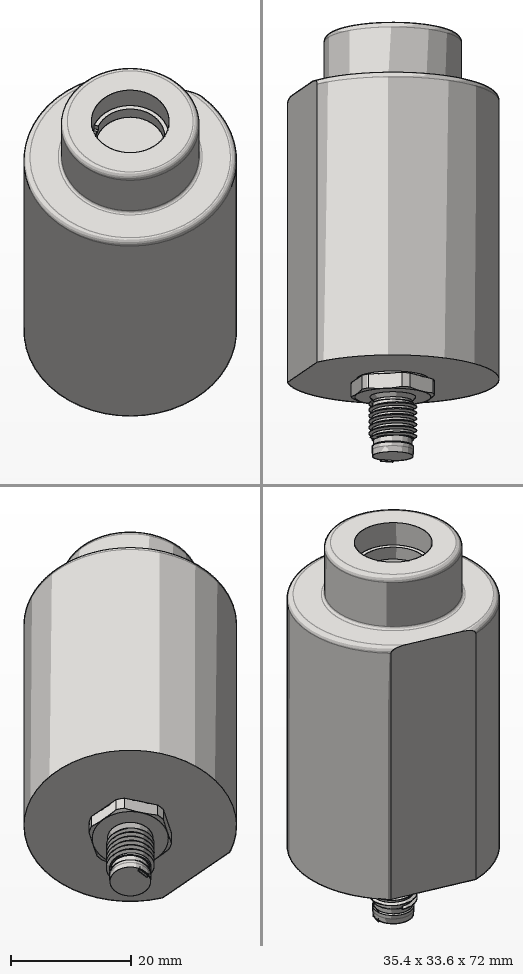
import cadquery as cq
import math

total_height = 72.0
housing_base_z = 13.4
shoulder_z = 62.0

housing_radius = 17.7
flat_y = 15.9
boss_diameter = 23.0
edge_radius = 1.0
boss_root_radius = 0.5
bore_diameter = 12.95

ring_top_z = 67.7
ring_height = 2.3
ring_inner_diameter = 11.5
slot_width = 1.15
slot_depth = 1.1
lens_rim_height = 2.0
dome_radius = 20.9

collar_diameter = 12.0
collar_height = 0.4
hex_across_flats = 12.75
hex_corner_diameter = 14.0
hex_turn_angle = 30.0
hex_bottom_z = 10.4
hex_chamfer_height = 0.2
hex_chamfer_width = 0.65
flare_diameter = 7.6
flare_end_z = 9.65
stem_diameter = 6.5
head_diameter = 6.9
head_end_diameter = 6.8
head_top_z = 2.1
head_cone_height = 0.2
head_taper_z = 1.2
head_base_z = 0.2
key_outer_x = 3.25
key_thickness = 0.4
key_width = 2.15

thread_major_diameter = 8.0
thread_root_diameter = 6.9
thread_base_z = 3.1
thread_top_z = 9.2
thread_pitch = 1.0
thread_turns = 6
thread_start_z = 3.2
thread_start_angle = 90.0
thread_flank_angle = 30.0
thread_embed = 0.1

ring_base_z = ring_top_z - ring_height
lens_base_z = ring_base_z - lens_rim_height


def disc(diameter, base_z, height):
    """Upright cylinder on the main axis."""
    return cq.Workplane("XY").workplane(offset=base_z).circle(diameter / 2).extrude(height)


def make_housing():
    """Round body with one full-height flat, a rounded boss and a blind bore for the lens."""
    boss_radius = boss_diameter / 2
    housing = (
        cq.Workplane("XZ")
        .moveTo(0, housing_base_z)
        .lineTo(housing_radius, housing_base_z)
        .lineTo(housing_radius, shoulder_z - edge_radius)
        .tangentArcPoint((housing_radius - edge_radius, shoulder_z), relative=False)
        .lineTo(boss_radius + boss_root_radius, shoulder_z)
        .tangentArcPoint((boss_radius, shoulder_z + boss_root_radius), relative=False)
        .lineTo(boss_radius, total_height - edge_radius)
        .tangentArcPoint((boss_radius - edge_radius, total_height), relative=False)
        .lineTo(0, total_height)
        .close()
        .revolve(360, (0, 0, 0), (0, 1, 0))
    )
    beyond_flat = cq.Workplane("XY").box(
        2 * housing_radius, housing_radius, total_height, centered=(True, False, False)
    ).translate((0, flat_y, 0))
    bore = disc(bore_diameter, lens_base_z, total_height - lens_base_z)
    return housing.cut(beyond_flat).cut(bore)


def make_retaining_ring():
    """Ring that holds the lens, with two opposite spanner slots in its top."""
    ring = disc(bore_diameter, ring_base_z, ring_height)
    ring = ring.cut(disc(ring_inner_diameter, ring_base_z, ring_height))
    slots = cq.Workplane("XY").box(
        bore_diameter, slot_width, slot_depth, centered=(True, True, False)
    ).translate((0, 0, ring_top_z - slot_depth))
    return ring.cut(slots)


def make_lens():
    """Flat-backed lens: a rim under the ring and a convex dome inside it."""
    rim = disc(bore_diameter, lens_base_z, lens_rim_height)
    dome_half_width = ring_inner_diameter / 2
    dome_centre_z = ring_base_z - math.sqrt(dome_radius**2 - dome_half_width**2)
    dome = cq.Workplane("XZ").sphere(dome_radius).translate((0, 0, dome_centre_z))
    dome = dome.intersect(disc(ring_inner_diameter, ring_base_z, dome_radius))
    return rim.union(dome)


def make_hexagon():
    """Hexagon with corners turned round and a conical chamfer on its lower edge."""
    hex_top_z = housing_base_z - collar_height
    hexagon = (
        cq.Workplane("XY")
        .workplane(offset=hex_bottom_z)
        .polygon(6, hex_across_flats, circumscribed=True)
        .extrude(hex_top_z - hex_bottom_z)
        .rotate((0, 0, 0), (0, 0, 1), hex_turn_angle)
    )
    corner_radius = hex_corner_diameter / 2
    turned_blank = (
        cq.Workplane("XZ")
        .moveTo(0, hex_bottom_z)
        .lineTo(corner_radius - hex_chamfer_width, hex_bottom_z)
        .lineTo(corner_radius, hex_bottom_z + hex_chamfer_height)
        .lineTo(corner_radius, hex_top_z)
        .lineTo(0, hex_top_z)
        .close()
        .revolve(360, (0, 0, 0), (0, 1, 0))
    )
    return hexagon.intersect(turned_blank)


def make_stem():
    """Turned stem: flare under the hexagon, thread core and a head tapered both ways."""
    stem_radius = stem_diameter / 2
    root_radius = thread_root_diameter / 2
    head_radius = head_diameter / 2
    return (
        cq.Workplane("XZ")
        .moveTo(0, head_base_z)
        .lineTo(head_end_diameter / 2, head_base_z)
        .lineTo(head_radius, head_taper_z)
        .lineTo(head_radius, head_top_z - head_cone_height)
        .lineTo(stem_radius, head_top_z)
        .lineTo(stem_radius, thread_base_z)
        .lineTo(root_radius, thread_base_z)
        .lineTo(root_radius, thread_top_z)
        .lineTo(stem_radius, thread_top_z)
        .lineTo(stem_radius, flare_end_z)
        .lineTo(flare_diameter / 2, hex_bottom_z)
        .lineTo(0, hex_bottom_z)
        .close()
        .revolve(360, (0, 0, 0), (0, 1, 0))
    )


def make_thread_ridge():
    """Right-hand helical ridge with a sharp triangular section, rooted just inside the thread core."""
    root_radius = thread_root_diameter / 2 - thread_embed
    crest_radius = thread_major_diameter / 2
    half_base = (crest_radius - root_radius) * math.tan(math.radians(thread_flank_angle))
    helix = cq.Wire.makeHelix(thread_pitch, thread_pitch * thread_turns, root_radius)
    ridge = (
        cq.Workplane("XZ")
        .polyline([(root_radius, -half_base), (crest_radius, 0), (root_radius, half_base)])
        .close()
        .sweep(cq.Workplane(obj=helix), isFrenet=True)
    )
    return ridge.rotate((0, 0, 0), (0, 0, 1), thread_start_angle).translate((0, 0, thread_start_z))


def make_connector():
    """Connector in one piece: collar, hexagon, threaded stem and a small key at its end."""
    collar = disc(collar_diameter, housing_base_z - collar_height, collar_height)
    key = cq.Workplane("XY").box(
        key_thickness, key_width, head_top_z, centered=(False, True, False)
    ).translate((key_outer_x - key_thickness, 0, 0))
    return make_hexagon().union(collar).union(make_stem()).union(make_thread_ridge()).union(key)


housing = make_housing()
retaining_ring = make_retaining_ring()
lens = make_lens()
connector = make_connector()

result = cq.Compound.makeCompound(
    [housing.val(), retaining_ring.val(), lens.val(), connector.val()]
)